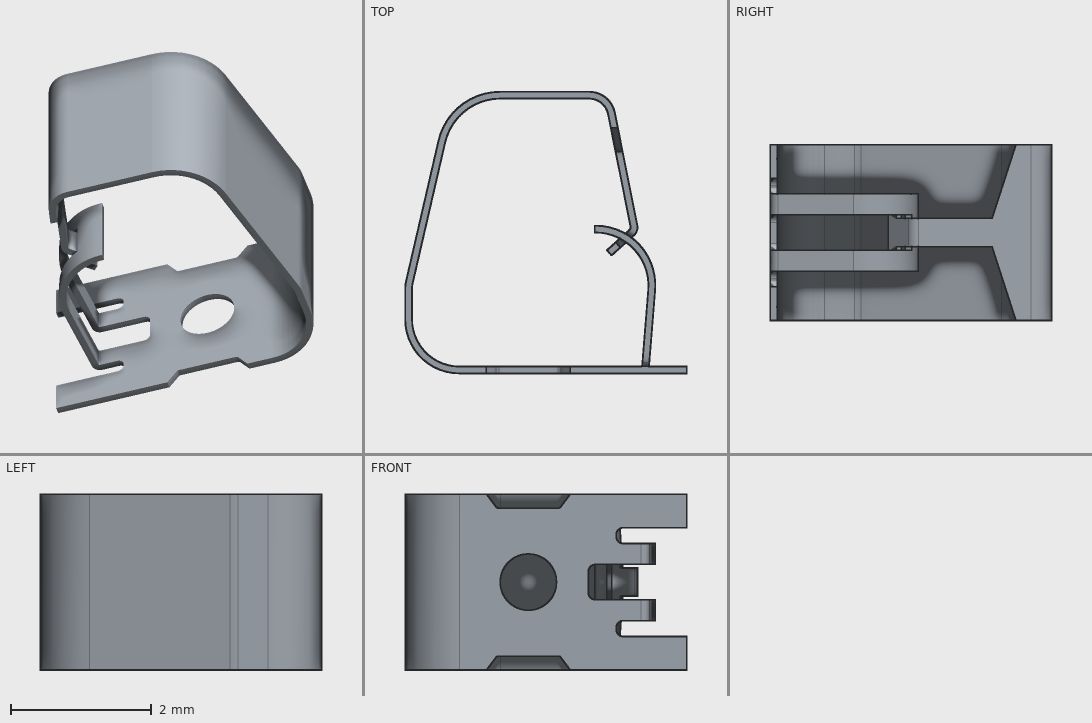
import cadquery as cq
import math


LENGTH = 4.0
DEPTH = 4.0
WIDTH = 2.5
SHEET = 0.1

FRONT_BEND_RADIUS = 0.77
SIDE_BEND_RADIUS = 0.5
SIDE_BEND_Y = 1.255
SIDE_LEAN = 13.0
BACK_LEFT_RADIUS = 0.9
BACK_RIGHT_RADIUS = 0.37
BACK_RIGHT_X = 2.918
ARM_LEAN = 11.3
HOOK_BEND_RADIUS = 0.15
HOOK_BEND_Y = 2.02
HOOK_SLOPE = 42.0
HOOK_LENGTH = 0.515

TAPER_START_Y = 3.49
TAPER_END_Y = 3.15
NECK_WIDTH = 0.4
HEAD_WIDTH = 0.7
HEAD_LENGTH = 0.17

TONGUE_WIDTH = 1.1
TONGUE_BEND_RADIUS = 0.12
TONGUE_FOOT_X = 3.455
TONGUE_LEAN = 4.6
CURL_RADIUS = 0.85
CURL_END_X = 2.69
CURL_TOP_Y = 2.1

WINDOW_WIDTH = 0.5
WINDOW_START_X = 2.6
WINDOW_CORNER_RADIUS = 0.1
WINDOW_END_ANGLE = 63.3
SLOT_WIDTH = 0.22
SLOT_START_X = 2.995
SLOT_CORNER_RADIUS = 0.1
HOLE_X = 1.75
HOLE_DIAMETER = 0.8
NOTCH_DEPTH = 0.2
NOTCH_MOUTH = 1.19
NOTCH_FLOOR = 0.89
NOTCH_CORNER_RADIUS = 0.05

CLEARANCE = 1.0


def direction(angle):
    """Unit vector at an angle in degrees from +X."""
    return cq.Vector(math.cos(math.radians(angle)), math.sin(math.radians(angle)))


def offset_corners(corners, side):
    """Corners of the parallel path one sheet thickness away; side is 1 for left, -1 for right."""
    headings = [(end - start).normalized() for start, end in zip(corners, corners[1:])]
    normals = [cq.Vector(-heading.y, heading.x) * side for heading in headings]
    inner = [corners[0] + normals[0] * SHEET]
    for corner, before, after in zip(corners[1:], normals, normals[1:]):
        miter = (before + after) * (1 / (1 + before.dot(after)))
        inner.append(corner + miter * SHEET)
    inner.append(corners[-1] + normals[-1] * SHEET)
    return inner


def rounded_path(corners, radii):
    """Edges along the corners, with every intermediate corner replaced by a tangent arc."""
    edges = []
    position = corners[0]
    for previous, corner, following, radius in zip(corners, corners[1:], corners[2:], radii):
        back = (previous - corner).normalized()
        ahead = (following - corner).normalized()
        half_angle = back.getAngle(ahead) / 2
        tangent_length = radius / math.tan(half_angle)
        arc_start = corner + back * tangent_length
        arc_end = corner + ahead * tangent_length
        apex_distance = radius / math.sin(half_angle) - radius
        arc_middle = corner + (back + ahead).normalized() * apex_distance
        edges.append(cq.Edge.makeLine(position, arc_start))
        edges.append(cq.Edge.makeThreePointArc(arc_start, arc_middle, arc_end))
        position = arc_end
    edges.append(cq.Edge.makeLine(position, corners[-1]))
    return edges


def bent_sheet(corners, radii, side, width):
    """Sheet bent along its outside corners, its thickness lying on the given side."""
    inner_corners = offset_corners(corners, side)
    inner_radii = [radius - SHEET for radius in radii]
    edges = rounded_path(corners, radii) + rounded_path(inner_corners, inner_radii)
    edges.append(cq.Edge.makeLine(corners[0], inner_corners[0]))
    edges.append(cq.Edge.makeLine(corners[-1], inner_corners[-1]))
    outline = cq.Wire.assembleEdges(cq.Workplane().newObject(edges).vals())
    solid = cq.Solid.extrudeLinear(outline, [], cq.Vector(0, 0, width))
    return cq.Workplane(solid).translate((0, 0, -width / 2))


def through_plate(sketch):
    """Extrude an XZ sketch through the flat plate on Y = 0."""
    return sketch.extrude(SHEET, both=True)


def plate_sketch():
    """Workplane on the outside face of the flat plate, X along its length and Z across it."""
    return cq.Workplane("XZ")


def arm_x(y):
    """Outside face of the leaning arm."""
    return BACK_RIGHT_X + (DEPTH - y) * math.tan(math.radians(ARM_LEAN))


HOOK_CORNER = cq.Vector(arm_x(HOOK_BEND_Y), HOOK_BEND_Y)
HOOK_DIRECTION = direction(180 + HOOK_SLOPE)
HOOK_TIP = HOOK_CORNER + HOOK_DIRECTION * HOOK_LENGTH


def make_loop():
    back_left_x = (DEPTH - SIDE_BEND_Y) * math.tan(math.radians(SIDE_LEAN))
    corners = [
        cq.Vector(LENGTH, 0),
        cq.Vector(0, 0),
        cq.Vector(0, SIDE_BEND_Y),
        cq.Vector(back_left_x, DEPTH),
        cq.Vector(BACK_RIGHT_X, DEPTH),
        HOOK_CORNER,
        HOOK_TIP,
    ]
    radii = [
        FRONT_BEND_RADIUS,
        SIDE_BEND_RADIUS,
        BACK_LEFT_RADIUS,
        BACK_RIGHT_RADIUS,
        HOOK_BEND_RADIUS,
    ]
    return bent_sheet(corners, radii, -1, WIDTH)


def narrow_arm(loop):
    """Taper the arm to the neck and leave the wider head at the tip of the hook."""
    arm_end_y = HOOK_TIP.y - SHEET
    arm_profile = [
        (TAPER_START_Y, WIDTH / 2),
        (TAPER_END_Y, NECK_WIDTH / 2),
        (arm_end_y, NECK_WIDTH / 2),
        (arm_end_y, WIDTH / 2),
    ]
    beside_arm = (
        cq.Workplane("YZ", origin=(HOOK_TIP.x - CLEARANCE, 0, 0))
        .polyline(arm_profile)
        .close()
        .extrude(2 * CLEARANCE)
    )
    head_frame = cq.Plane(
        origin=HOOK_TIP.toTuple(), xDir=(HOOK_DIRECTION * -1).toTuple(), normal=(0, 0, 1)
    )
    head_zone = (
        cq.Workplane(head_frame)
        .center(HEAD_LENGTH / 2, 0)
        .rect(HEAD_LENGTH, 4 * SHEET)
        .extrude(HEAD_WIDTH / 2)
    )
    waste = beside_arm.cut(head_zone)
    return loop.cut(waste).cut(waste.mirror("XY"))


def open_plate(loop):
    """Clear the plate around the tongue, leaving a prong beyond each slot."""
    slot_end = LENGTH + CLEARANCE
    opening_width = TONGUE_WIDTH + 2 * SLOT_WIDTH
    gap_start = SLOT_START_X + SLOT_CORNER_RADIUS
    tongue_gap = through_plate(
        plate_sketch()
        .center((gap_start + slot_end) / 2, 0)
        .rect(slot_end - gap_start, opening_width)
    )
    loop = loop.cut(tongue_gap)
    for side in (-1, 1):
        slot_z = side * (TONGUE_WIDTH + SLOT_WIDTH) / 2
        slot = through_plate(
            plate_sketch()
            .center((SLOT_START_X + slot_end) / 2, slot_z)
            .rect(slot_end - SLOT_START_X, SLOT_WIDTH)
        )
        loop = loop.cut(slot.edges("<X and |Y").fillet(SLOT_CORNER_RADIUS))
    return loop


def make_tongue():
    """Tongue rising from the plate and curling back over, slit from its foot to the curl."""
    lean = math.radians(TONGUE_LEAN)
    corners = [
        cq.Vector(WINDOW_START_X, 0),
        cq.Vector(TONGUE_FOOT_X, 0),
        cq.Vector(TONGUE_FOOT_X + CURL_TOP_Y * math.tan(lean), CURL_TOP_Y),
        cq.Vector(CURL_END_X, CURL_TOP_Y),
    ]
    tongue = bent_sheet(corners, [TONGUE_BEND_RADIUS, CURL_RADIUS], 1, TONGUE_WIDTH)
    curl_tangent = CURL_RADIUS / math.tan((math.pi / 2 - lean) / 2)
    curl_center = cq.Vector(corners[2].x - curl_tangent, CURL_TOP_Y - CURL_RADIUS)
    slit_end = curl_center + direction(WINDOW_END_ANGLE) * (CURL_RADIUS + SHEET)
    slit_outline = [
        (curl_center.x, SHEET),
        (curl_center.x, curl_center.y),
        (slit_end.x, slit_end.y),
        (LENGTH, slit_end.y),
        (LENGTH, SHEET),
    ]
    slit = cq.Workplane().polyline(slit_outline).close().extrude(WINDOW_WIDTH / 2, both=True)
    return tongue.cut(slit)


def cut_window(clip):
    """Window in the plate, splitting the foot of the tongue into two legs."""
    window_length = LENGTH - WINDOW_START_X
    window = through_plate(
        plate_sketch()
        .center(WINDOW_START_X + window_length / 2, 0)
        .rect(window_length, WINDOW_WIDTH)
    )
    return clip.cut(window.edges("<X and |Y").fillet(WINDOW_CORNER_RADIUS))


def cut_hole(clip):
    return clip.cut(through_plate(plate_sketch().center(HOLE_X, 0).circle(HOLE_DIAMETER / 2)))


def cut_notches(clip):
    """Trapezoidal notch in each long edge of the plate, in line with the hole."""
    floor_z = WIDTH / 2 - NOTCH_DEPTH
    outline = [
        (HOLE_X - NOTCH_MOUTH / 2, WIDTH / 2),
        (HOLE_X - NOTCH_FLOOR / 2, floor_z),
        (HOLE_X + NOTCH_FLOOR / 2, floor_z),
        (HOLE_X + NOTCH_MOUTH / 2, WIDTH / 2),
    ]
    notch = through_plate(plate_sketch().polyline(outline).close())
    notch = notch.faces("<Z").edges("|Y").fillet(NOTCH_CORNER_RADIUS)
    return clip.cut(notch).cut(notch.mirror("XY"))


loop = open_plate(narrow_arm(make_loop()))
clip = loop.union(make_tongue())
clip = cut_window(clip)
clip = cut_hole(clip)
result = cut_notches(clip)